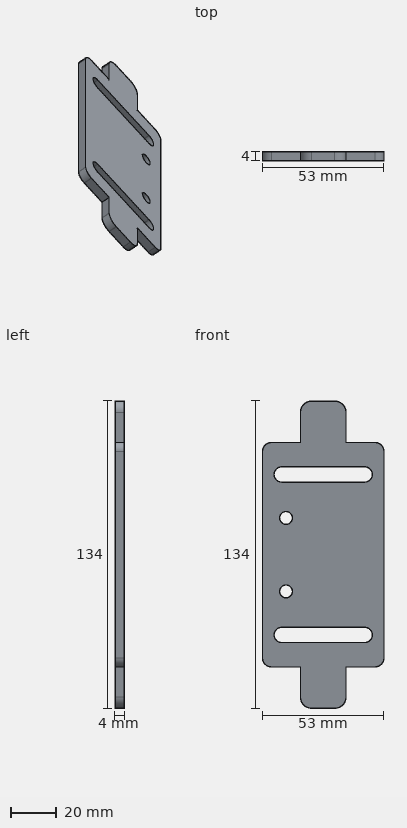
import cadquery as cq

total_height = 134.0
thickness = 4.0
body_width = 53.0
body_height = 98.0
body_corner_radius = 4.0

tab_width = 20.0
tab_corner_radius = 5.0

slot_length = 42.7
slot_width = 6.5
slot_spacing = 70.0

hole_diameter = 5.5
hole_spacing = 32.0
hole_x = -16.2


def rounded_plate(width, height, corner_radius):
    """Plate in the XZ plane, centred on the origin, with rounded corners."""
    plate = cq.Workplane("XZ").rect(width, height).extrude(thickness / 2, both=True)
    return plate.edges("|Y").fillet(corner_radius)


def mirrored_points(x, spacing):
    """Two points at the same X, equally far above and below the centre."""
    return [(x, -spacing / 2), (x, spacing / 2)]


body = rounded_plate(body_width, body_height, body_corner_radius)
tab_strip = rounded_plate(tab_width, total_height, tab_corner_radius)

slots = (
    cq.Workplane("XZ")
    .pushPoints(mirrored_points(0, slot_spacing))
    .slot2D(slot_length, slot_width)
    .extrude(thickness, both=True)
)

holes = (
    cq.Workplane("XZ")
    .pushPoints(mirrored_points(hole_x, hole_spacing))
    .circle(hole_diameter / 2)
    .extrude(thickness, both=True)
)

result = body.union(tab_strip).cut(slots).cut(holes)